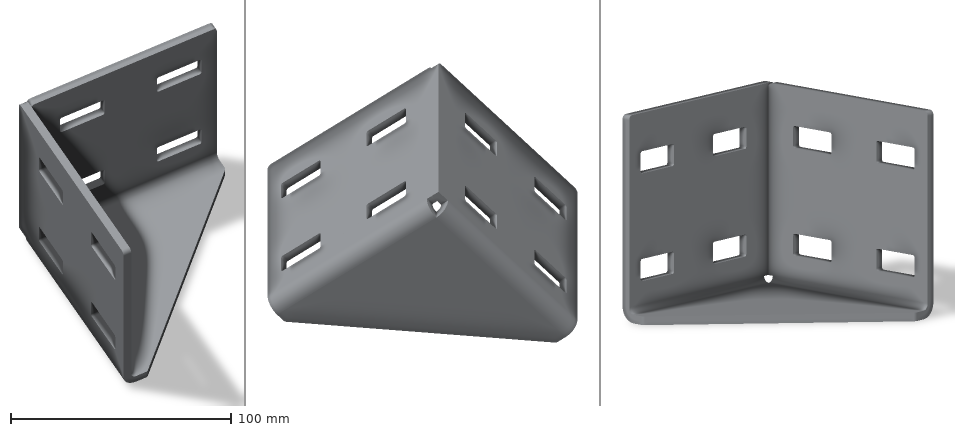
import cadquery as cq

SIDE = 100.0
HEIGHT = 96.0
THICKNESS = 4.0
INNER_RADIUS = 2.8
OUTER_RADIUS = INNER_RADIUS + THICKNESS
CORNER_RADIUS = 2.0

SEAM_GAP = 0.1

BASE_END = 12.3

SLOT_LENGTH = 23.0
SLOT_HEIGHT = 10.3
SLOT_CORNER_RADIUS = 1.0
SLOT_PITCH = 50.0
SLOT_ROWS = 2
SLOT_COLUMNS = 2
FIRST_SLOT_ALONG = 30.6
FIRST_SLOT_Z = 23.0


def make_wall(start):
    """Slotted wall in the XZ plane, filling Y from 0 to the sheet thickness and running from X = start."""
    wall = (
        cq.Workplane("XY")
        .box(SIDE - start, THICKNESS, HEIGHT - OUTER_RADIUS, centered=False)
        .translate((start, 0, OUTER_RADIUS))
        .edges("|Y and >Z")
        .fillet(CORNER_RADIUS)
    )
    slot_centers = [
        (FIRST_SLOT_ALONG + column * SLOT_PITCH, FIRST_SLOT_Z + row * SLOT_PITCH)
        for column in range(SLOT_COLUMNS)
        for row in range(SLOT_ROWS)
    ]
    slots = (
        cq.Workplane("XZ")
        .pushPoints(slot_centers)
        .rect(SLOT_LENGTH, SLOT_HEIGHT)
        .extrude(-THICKNESS)
        .edges("|Y")
        .fillet(SLOT_CORNER_RADIUS)
    )
    return wall.cut(slots)


def make_bend():
    """Quarter-round bend along X joining a wall to the base, clear of the shared corner."""
    bend_length = SIDE - OUTER_RADIUS
    roll_center = (OUTER_RADIUS, OUTER_RADIUS)
    ring = (
        cq.Workplane("YZ", origin=(OUTER_RADIUS, 0, 0))
        .center(*roll_center)
        .circle(OUTER_RADIUS)
        .circle(INNER_RADIUS)
        .extrude(bend_length)
    )
    quarter = (
        cq.Workplane("XY")
        .box(bend_length, OUTER_RADIUS, OUTER_RADIUS, centered=False)
        .translate((OUTER_RADIUS, 0, 0))
    )
    return ring.intersect(quarter)


def make_flange(wall_start):
    """Wall together with the bend along its lower edge."""
    return make_wall(wall_start).union(make_bend())


def swap_x_and_y(body):
    """Reflect a body across the vertical plane X = Y."""
    return body.mirror("YZ").rotate((0, 0, 0), (0, 0, 1), -90)


def make_base():
    """Flat triangular base with its two sharp tips cut square and rounded into the diagonal."""
    outline = [
        (OUTER_RADIUS, OUTER_RADIUS),
        (SIDE, OUTER_RADIUS),
        (SIDE, BASE_END),
        (BASE_END, SIDE),
        (OUTER_RADIUS, SIDE),
    ]
    base = cq.Workplane("XY").polyline(outline).close().extrude(THICKNESS)
    for corner_x, corner_y in [(SIDE, BASE_END), (BASE_END, SIDE)]:
        corner = cq.selectors.NearestToPointSelector((corner_x, corner_y, THICKNESS / 2))
        base = base.edges("|Z").edges(corner).fillet(CORNER_RADIUS)
    return base


front_flange = make_flange(wall_start=0)
left_flange = swap_x_and_y(make_flange(wall_start=THICKNESS + SEAM_GAP))

result = make_base().union(front_flange).union(left_flange)